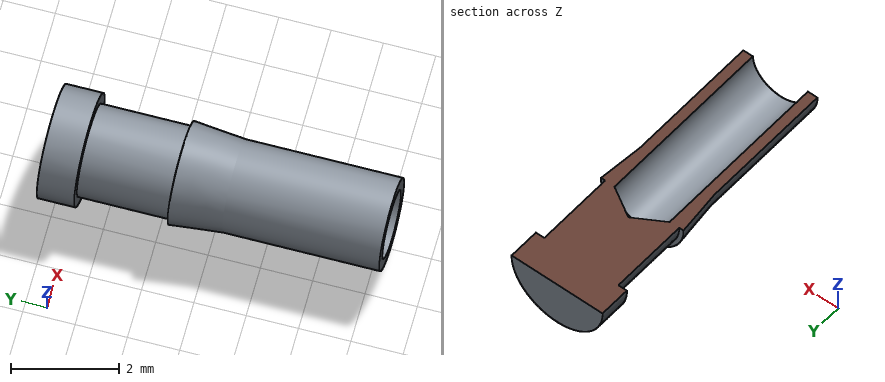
import cadquery as cq
import math

length = 6.49
head_diameter = 2.18
head_length = 0.715
shank_diameter = 1.78
barb_diameter = 1.98
barb_shoulder = 2.47
barb_length = 1.02
bore_diameter = 1.31
drill_point_angle = 118.0

head_radius = head_diameter / 2
shank_radius = shank_diameter / 2
barb_radius = barb_diameter / 2
bore_radius = bore_diameter / 2

head_underside = length - head_length
barb_wide_end = length - barb_shoulder
barb_narrow_end = barb_wide_end - barb_length
bore_depth = barb_wide_end
point_depth = bore_radius / math.tan(math.radians(drill_point_angle / 2))


def revolve_about_y(profile):
    """Revolve a closed (radius, Y) profile about the Y axis."""
    return cq.Workplane("XY").polyline(profile).close().revolve(360, (0, 0, 0), (0, 1, 0))


body = revolve_about_y([
    (0, 0),
    (shank_radius, 0),
    (shank_radius, barb_narrow_end),
    (barb_radius, barb_wide_end),
    (shank_radius, barb_wide_end),
    (shank_radius, head_underside),
    (head_radius, head_underside),
    (head_radius, length),
    (0, length),
])

bore = revolve_about_y([
    (0, 0),
    (bore_radius, 0),
    (bore_radius, bore_depth),
    (0, bore_depth + point_depth),
])

result = body.cut(bore)